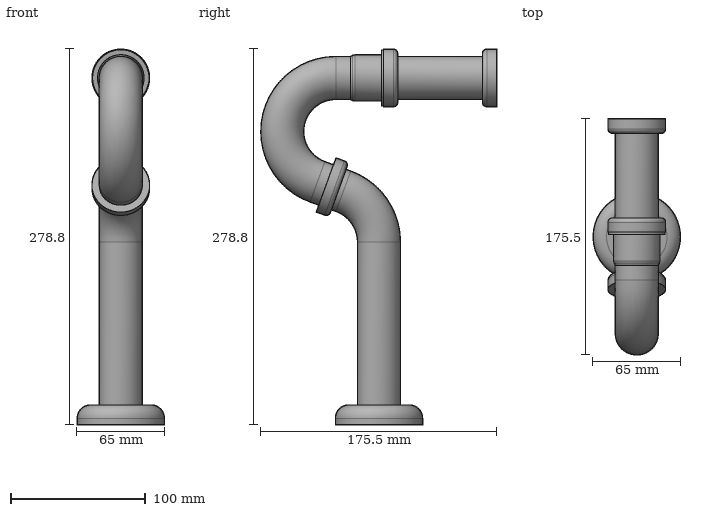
import cadquery as cq
import math

pipe_dia = 32.0
pipe_radius = pipe_dia / 2
total_height = 278.8
total_depth = 175.5
inlet_end_y = 87.5
collar_dia = 43.0
inlet_z = total_height - collar_dia / 2

bend_end_y = -32.0
upper_bend_radius = bend_end_y - (inlet_end_y - total_depth) - pipe_radius
lower_bend_radius = 40.2
joint_slope_deg = 20.0
joint_slope = math.radians(joint_slope_deg)
lower_sweep_deg = 90 - joint_slope_deg
upper_sweep_deg = 180 - joint_slope_deg

foot_dia = 65.0
foot_height = 14.8
foot_fillet = 10.0

collar_fillet = 3.3
inlet_collar_length = 11.0
middle_collar_start_y = 14.0
middle_collar_length = 12.3
middle_step_dia = 41.8
middle_step_length = 1.7
joint_collar_offset = 3.5
joint_collar_length = 10.0

sleeve_dia = 34.5
sleeve_end_y = -17.8
taper_mid_dia = 33.7
taper_length = 1.7

upper_center_z = inlet_z - upper_bend_radius
joint_high_y = bend_end_y - upper_bend_radius * math.sin(joint_slope)
joint_high_z = upper_center_z - upper_bend_radius * math.cos(joint_slope)
joint_low_y = -lower_bend_radius * (1 - math.sin(joint_slope))
joint_length = (joint_low_y - joint_high_y) / math.cos(joint_slope)
joint_low_z = joint_high_z - joint_length * math.sin(joint_slope)
riser_height = joint_low_z - lower_bend_radius * math.cos(joint_slope)

foot_plane = cq.Plane.XY()
inlet_plane = cq.Plane(origin=(0, inlet_end_y, inlet_z), xDir=(1, 0, 0), normal=(0, -1, 0))
joint_plane = cq.Plane(
    origin=(0, joint_low_y, joint_low_z),
    xDir=(1, 0, 0),
    normal=(0, -math.cos(joint_slope), math.sin(joint_slope)),
)


def cylinder(plane, start, length, dia):
    """Cylinder along the plane's normal, beginning at distance start."""
    return cq.Workplane(plane).workplane(offset=start).circle(dia / 2).extrude(length)


def cone(plane, start, length, start_dia, end_dia):
    """Truncated cone along the plane's normal."""
    base = cq.Workplane(plane).workplane(offset=start).circle(start_dia / 2)
    return base.workplane(offset=length).circle(end_dia / 2).loft(ruled=True)


def bend(start_plane, center_y, center_z, sweep_deg):
    """Pipe bend turned from start_plane about an X-parallel axis through the bend centre."""
    axis_start = start_plane.toLocalCoords(cq.Vector(0, center_y, center_z))
    axis_end = start_plane.toLocalCoords(cq.Vector(2.8, center_y, center_z))
    section = cq.Workplane(start_plane).circle(pipe_radius)
    return section.revolve(sweep_deg, axis_start.toTuple(), axis_end.toTuple())


def make_foot():
    foot = cylinder(foot_plane, 0, foot_height, foot_dia)
    return foot.faces(">Z").edges().fillet(foot_fillet)


def make_pipe():
    riser = cylinder(foot_plane, 0, riser_height, pipe_dia)
    joint = cylinder(joint_plane, 0, joint_length, pipe_dia)
    inlet = cylinder(inlet_plane, 0, inlet_end_y - bend_end_y, pipe_dia)
    riser_top = cq.Plane(origin=(0, 0, riser_height), xDir=(1, 0, 0), normal=(0, 0, 1))
    inlet_front = cq.Plane(origin=(0, bend_end_y, inlet_z), xDir=(1, 0, 0), normal=(0, -1, 0))
    lower_bend = bend(riser_top, -lower_bend_radius, riser_height, lower_sweep_deg)
    upper_bend = bend(inlet_front, bend_end_y, upper_center_z, upper_sweep_deg)
    return riser.union(lower_bend).union(joint).union(upper_bend).union(inlet)


def make_inlet_collar():
    collar = cylinder(inlet_plane, 0, inlet_collar_length, collar_dia)
    return collar.faces("<Y").edges().fillet(collar_fillet)


def make_middle_collar():
    start = inlet_end_y - middle_collar_start_y
    main_length = middle_collar_length - middle_step_length
    collar = cylinder(inlet_plane, start, main_length, collar_dia)
    collar = collar.faces(">Y").edges().fillet(collar_fillet)
    return collar.union(cylinder(inlet_plane, start + main_length, middle_step_length, middle_step_dia))


def make_sleeve():
    start = inlet_end_y - middle_collar_start_y
    taper_start = inlet_end_y - sleeve_end_y
    sleeve = cylinder(inlet_plane, start, taper_start - start, sleeve_dia)
    first = cone(inlet_plane, taper_start, taper_length, sleeve_dia, taper_mid_dia)
    second = cone(inlet_plane, taper_start + taper_length, taper_length, taper_mid_dia, pipe_dia)
    return sleeve.union(first).union(second)


def make_joint_collar():
    collar = cylinder(joint_plane, joint_collar_offset, joint_collar_length, collar_dia)
    low_face = cq.DirectionMinMaxSelector(joint_plane.zDir, False)
    return collar.faces(low_face).edges().fillet(collar_fillet)


result = make_pipe()
for feature in (make_foot(), make_inlet_collar(), make_middle_collar(), make_sleeve(), make_joint_collar()):
    result = result.union(feature)